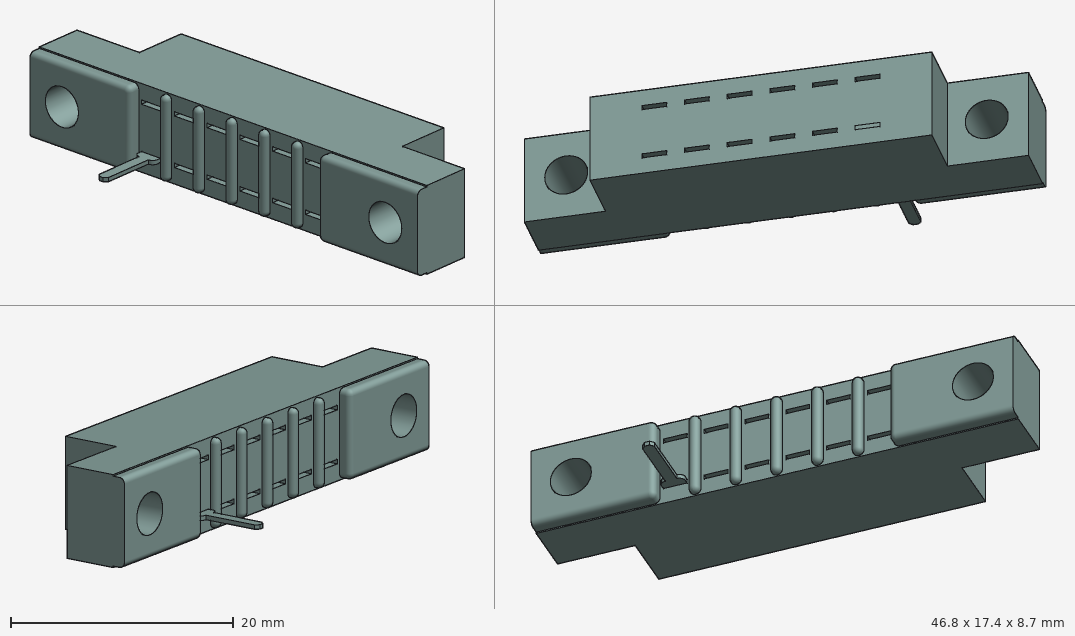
import cadquery as cq

LENGTH = 46.8
HEIGHT = 8.7
FLANGE_DEPTH = 5.1
PLUG_DEPTH = 10.7
PLUG_LENGTH = 31.72

POSITIONS = 6
ROW_LENGTH = 19.8
PITCH = ROW_LENGTH / (POSITIONS - 1)
ROW_SPACING = 5.05
SLOT_WIDTH = 2.3
SLOT_HEIGHT = 0.4

RAISED_INSET = 0.15
RAISED_HEIGHT = HEIGHT - 2 * RAISED_INSET
PAD_INNER_X = 11.35
PAD_THICKNESS = 1.25
PAD_FILLET = 0.55
RIB_WIDTH = 1.05
RIB_FLAT = 0.01
RIB_THICKNESS = 0.7
RIB_FILLET = (RIB_WIDTH - RIB_FLAT) / 2

HOLE_DIAMETER = 4.0
HOLE_X = 19.5

HEAD_PROJECTION = 1.0
HEAD_FILLET = 0.55
TAIL_WIDTH = 1.1
PIN_PROJECTION = 6.7
TAIL_CHAMFER = 0.35


def slot_x(index):
    """X of a contact position, counted from the -X end."""
    return index * PITCH - ROW_LENGTH / 2


def block_between(x_min, x_max, y_min, y_max, height, z_middle=0.0):
    """Box given by its X and Y limits, centred on z_middle."""
    return (
        cq.Workplane("XY")
        .box(x_max - x_min, y_max - y_min, height)
        .translate(((x_min + x_max) / 2, (y_min + y_max) / 2, z_middle))
    )


def make_block():
    """T-shaped housing block: a long flange with a shorter plug behind it."""
    flange = block_between(-LENGTH / 2, LENGTH / 2, 0, FLANGE_DEPTH, HEIGHT)
    plug = block_between(-PLUG_LENGTH / 2, PLUG_LENGTH / 2, 0, PLUG_DEPTH, HEIGHT)
    return flange.union(plug)


def make_left_pad():
    """Raised pad at the -X end, rounded everywhere except at its flush outer end."""
    pad = block_between(-LENGTH / 2, -PAD_INNER_X, -PAD_THICKNESS, 0, RAISED_HEIGHT)
    front_edges = pad.faces("<Y").edges("not <X")
    corner_edges = pad.edges("|Y and >X")
    return pad.newObject(front_edges.vals() + corner_edges.vals()).fillet(PAD_FILLET)


def make_rib(x_middle):
    """Upright rib with an almost fully rounded front and domed ends."""
    rib = block_between(-RIB_WIDTH / 2, RIB_WIDTH / 2, -RIB_THICKNESS, 0, RAISED_HEIGHT)
    return rib.edges("<Y or |Y").fillet(RIB_FILLET).translate((x_middle, 0, 0))


def make_slot(x_middle, z_middle):
    """Cutter for one contact slot, running through the whole plug depth."""
    half_width = SLOT_WIDTH / 2
    return block_between(
        x_middle - half_width, x_middle + half_width, 0, PLUG_DEPTH, SLOT_HEIGHT, z_middle
    )


def make_mounting_holes():
    """Cutters for the two mounting holes, running along Y through the pads and flange."""
    return (
        cq.Workplane("XZ", origin=(0, FLANGE_DEPTH, 0))
        .pushPoints([(-HOLE_X, 0), (HOLE_X, 0)])
        .circle(HOLE_DIAMETER / 2)
        .extrude(FLANGE_DEPTH + PAD_THICKNESS)
    )


def make_housing():
    """Housing block with pads, ribs, contact slots and mounting holes."""
    left_pad = make_left_pad()
    housing = make_block().union(left_pad).union(left_pad.mirror("YZ"))
    for index in range(POSITIONS - 1):
        housing = housing.union(make_rib(slot_x(index) + PITCH / 2))
    for index in range(POSITIONS):
        for row_z in (-ROW_SPACING / 2, ROW_SPACING / 2):
            housing = housing.cut(make_slot(slot_x(index), row_z))
    return housing.cut(make_mounting_holes())


def make_pin(x_middle, z_middle):
    """Flat contact pin whose head fills one slot and whose tail projects towards -Y."""
    head = block_between(
        -SLOT_WIDTH / 2, SLOT_WIDTH / 2, -HEAD_PROJECTION, PLUG_DEPTH, SLOT_HEIGHT
    )
    head = head.edges("|Z and <Y").fillet(HEAD_FILLET)
    tail = block_between(
        -TAIL_WIDTH / 2, TAIL_WIDTH / 2, -PIN_PROJECTION, 0, SLOT_HEIGHT
    )
    tail = tail.edges("|Z and <Y").chamfer(TAIL_CHAMFER)
    return head.union(tail).translate((x_middle, 0, z_middle))


housing = make_housing()
pin = make_pin(slot_x(0), -ROW_SPACING / 2)

result = cq.Compound.makeCompound([housing.solids().val(), pin.solids().val()])